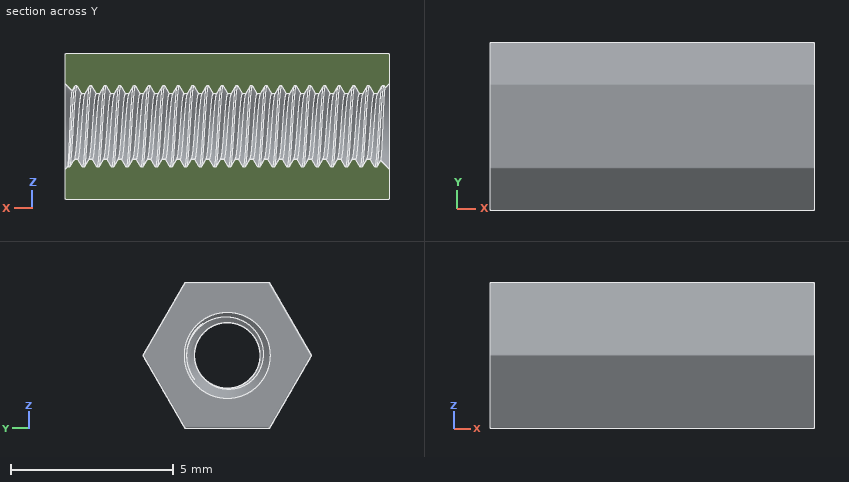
import cadquery as cq
import math

length = 10.0
across_flats = 4.5
hex_sides = 6
edge_radius = 0.05

major_diameter = 2.5
pitch = 0.45
flank_angle = math.radians(30)
sharp_depth = pitch / 2 / math.tan(flank_angle)
thread_depth = sharp_depth * 5 / 8
bore_radius = major_diameter / 2 - thread_depth
root_width = pitch / 8
thread_start_angle = 300
thread_shift = 0.08
spare_turns = 2
cutter_overlap = 0.05

countersink_diameter = 2.65
countersink_half_angle = math.radians(45)


def hex_bar():
    """Hexagonal bar with two flats facing up and down and all edges softened."""
    corner_diameter = across_flats / math.cos(math.pi / hex_sides)
    bar = cq.Workplane("YZ").polygon(hex_sides, corner_diameter).extrude(length / 2, both=True)
    return bar.edges().fillet(edge_radius)


def bore_with_countersinks():
    """Revolved cutter: the plain bore flaring to a cone at each end."""
    mouth_radius = countersink_diameter / 2
    cone_depth = (mouth_radius - bore_radius) / math.tan(countersink_half_angle)
    half = length / 2
    return (
        cq.Workplane("XY")
        .moveTo(-half, 0)
        .lineTo(-half, -mouth_radius)
        .lineTo(-half + cone_depth, -bore_radius)
        .lineTo(half - cone_depth, -bore_radius)
        .lineTo(half, -mouth_radius)
        .lineTo(half, 0)
        .close()
        .revolve(360, (0, 0), (1, 0))
    )


def helical_turn(section):
    """Four ruled faces that carry a groove section once around the Z axis."""
    corner_paths = [
        cq.Wire.makeHelix(pitch, pitch, radius).translate(cq.Vector(0, 0, height)).Edges()[0]
        for radius, height in section
    ]
    next_paths = corner_paths[1:] + corner_paths[:1]
    return [cq.Face.makeRuledSurface(path, next_path) for path, next_path in zip(corner_paths, next_paths)]


def thread_groove():
    """Helical trapezoidal cutter running past both ends of the bar."""
    outer = major_diameter / 2
    inner = bore_radius - cutter_overlap
    root_half = root_width / 2
    mouth_half = root_half + (outer - inner) * math.tan(flank_angle)
    section = [(inner, -mouth_half), (outer, -root_half), (outer, root_half), (inner, mouth_half)]

    turn_count = math.ceil(length / pitch) + spare_turns
    groove_length = turn_count * pitch
    turn = helical_turn(section)
    faces = []
    for index in range(turn_count):
        offset = cq.Vector(0, 0, index * pitch)
        faces += [face.translate(offset) for face in turn]

    corners = [cq.Vector(radius, 0, height) for radius, height in section]
    start_cap = cq.Face.makeFromWires(cq.Wire.makePolygon(corners, close=True))
    end_cap = start_cap.translate(cq.Vector(0, 0, groove_length))
    groove = cq.Solid.makeSolid(cq.Shell.makeShell(faces + [start_cap, end_cap]))
    return (
        cq.Workplane(obj=groove)
        .rotate((0, 0, 0), (0, 0, 1), thread_start_angle)
        .rotate((0, 0, 0), (0, 1, 0), 90)
        .translate((thread_shift - groove_length / 2, 0, 0))
    )


result = hex_bar().cut(bore_with_countersinks()).cut(thread_groove())